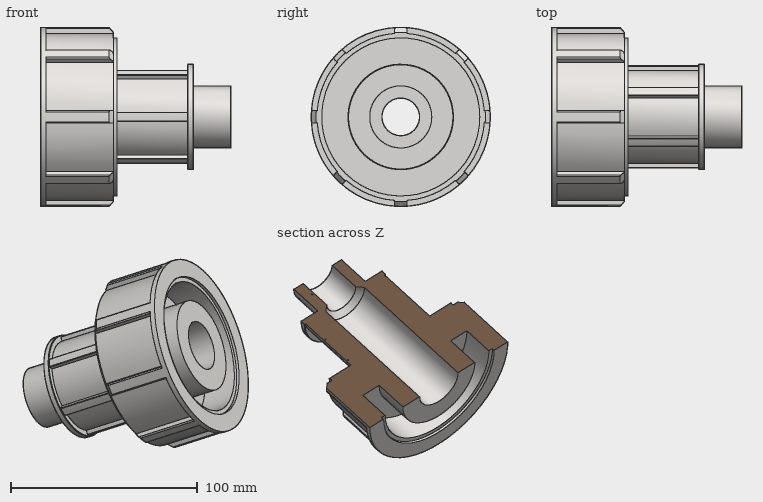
import cadquery as cq

length = 102.0
rim_end = 2.9
nut_end = 39.1
shoulder_end = 41.0
barrel_end = 78.7
collar_end = 82.0

rim_diameter = 96.0
nut_diameter = 89.7
shoulder_diameter = 84.7
barrel_diameter = 50.0
collar_diameter = 56.5
spigot_diameter = 33.3
collar_chamfer = 0.3

nut_rib_count = 8
nut_rib_width = 6.7
nut_rib_edge = 0.76
nut_bevel_length = 2.4
nut_bevel_drop = 2.7

barrel_rib_count = 6
barrel_rib_width = 5.0
barrel_rib_tip_diameter = 55.0
barrel_rib_edge = 0.36

mouth_diameter = 76.8
mouth_depth = 1.5
cavity_diameter = 72.0
cavity_depth = 20.0
boss_diameter = 50.0

bore_diameter = 26.6
outlet_diameter = 20.0
taper_end = collar_end
taper_start = taper_end - (bore_diameter - outlet_diameter) / 2


def cylinder(diameter, start, end):
    """Solid cylinder on the X axis."""
    return cq.Workplane("YZ").workplane(offset=start).circle(diameter / 2).extrude(end - start)


def ring(outer_diameter, inner_diameter, start, end):
    """Hollow cylinder on the X axis."""
    return cylinder(outer_diameter, start, end).cut(cylinder(inner_diameter, start, end))


def ribs(count, width, tip_diameter, edge, start, end):
    """Radial ribs along X with a rounded tip and chamfered tip edges; the first points to +Y."""
    half_width = width / 2
    tip_radius = tip_diameter / 2
    section = (
        cq.Workplane("YZ")
        .workplane(offset=start)
        .moveTo(0, -half_width)
        .lineTo(tip_radius - edge, -half_width)
        .lineTo(tip_radius, edge - half_width)
        .lineTo(tip_radius, half_width - edge)
        .lineTo(tip_radius - edge, half_width)
        .lineTo(0, half_width)
        .close()
    )
    rib = section.extrude(end - start).intersect(cylinder(tip_diameter, start, end))
    all_ribs = rib
    for index in range(1, count):
        all_ribs = all_ribs.union(rib.rotate((0, 0, 0), (1, 0, 0), index * 360 / count))
    return all_ribs


def nut():
    """Ribbed nut: a bevelled blank whose skin is cut away between the ribs."""
    blank = (
        cylinder(rim_diameter, 0, nut_end)
        .faces(">X")
        .chamfer(nut_bevel_length, nut_bevel_drop)
    )
    skin = ring(rim_diameter, nut_diameter, rim_end, nut_end)
    nut_ribs = ribs(nut_rib_count, nut_rib_width, rim_diameter, nut_rib_edge, rim_end, nut_end)
    return blank.cut(skin.cut(nut_ribs))


def tail():
    """Shoulder, ribbed barrel, collar and spigot behind the nut."""
    shoulder = cylinder(shoulder_diameter, nut_end, shoulder_end)
    barrel = cylinder(barrel_diameter, nut_end, barrel_end)
    barrel_ribs = ribs(
        barrel_rib_count, barrel_rib_width, barrel_rib_tip_diameter, barrel_rib_edge, nut_end, barrel_end
    )
    collar = cylinder(collar_diameter, barrel_end, collar_end).edges().chamfer(collar_chamfer)
    spigot = cylinder(spigot_diameter, barrel_end, length)
    return shoulder.union(barrel).union(barrel_ribs).union(collar).union(spigot)


def cavity():
    """Annular space between the nut wall and the boss, with a wider shallow mouth."""
    mouth = ring(mouth_diameter, boss_diameter, 0, mouth_depth)
    return mouth.union(ring(cavity_diameter, boss_diameter, 0, cavity_depth))


def bore():
    """Bore profile revolved about X: wide cylinder, conical taper, narrow cylinder."""
    return (
        cq.Workplane("XY")
        .lineTo(0, bore_diameter / 2)
        .lineTo(taper_start, bore_diameter / 2)
        .lineTo(taper_end, outlet_diameter / 2)
        .lineTo(length, outlet_diameter / 2)
        .lineTo(length, 0)
        .close()
        .revolve(360, (0, 0, 0), (1, 0, 0))
    )


result = nut().union(tail()).cut(cavity()).cut(bore())